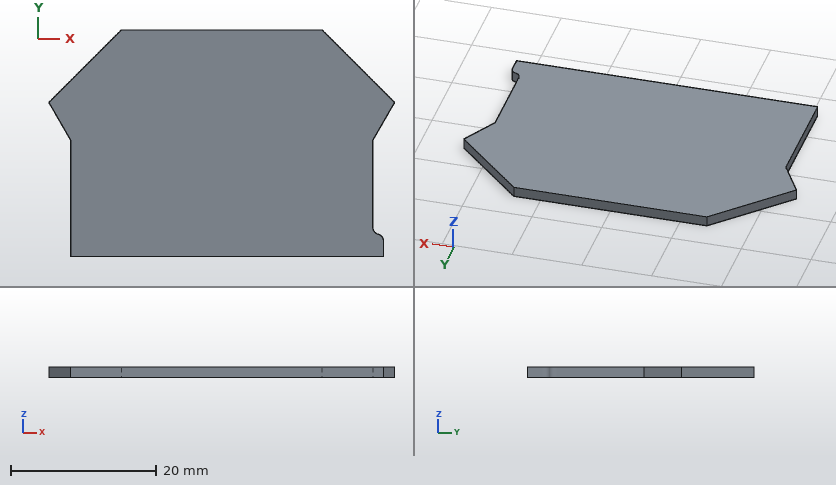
import cadquery as cq
import math

width = 47.7
depth = 31.3
thickness = 1.5

corner_bevel = 10.0
side_inset = 3.0
taper_angle = math.radians(60)

foot_projection = 1.5
foot_mid_height = 3.1
blend_radius = 1.0

half_width = width / 2
body_half_width = half_width - side_inset
shoulder_y = depth - corner_bevel
waist_y = shoulder_y - side_inset * math.tan(taper_angle)
foot_x = body_half_width + foot_projection

blend_turn = math.acos(1 - foot_projection / (2 * blend_radius))
blend_half_height = blend_radius * math.sin(blend_turn)
blend_bottom_y = foot_mid_height - blend_half_height
blend_top_y = foot_mid_height + blend_half_height
blend_mid = (body_half_width + foot_projection / 2, foot_mid_height)

outline = (
    cq.Workplane("XY")
    .moveTo(-body_half_width, 0)
    .lineTo(foot_x, 0)
    .lineTo(foot_x, blend_bottom_y)
    .tangentArcPoint(blend_mid, relative=False)
    .tangentArcPoint((body_half_width, blend_top_y), relative=False)
    .lineTo(body_half_width, waist_y)
    .lineTo(half_width, shoulder_y)
    .lineTo(half_width - corner_bevel, depth)
    .lineTo(-half_width + corner_bevel, depth)
    .lineTo(-half_width, shoulder_y)
    .lineTo(-body_half_width, waist_y)
    .close()
)

result = outline.extrude(thickness)